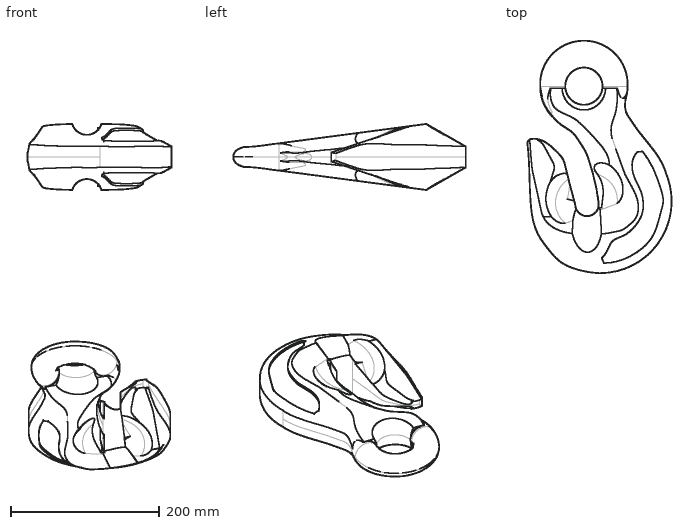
import cadquery as cq
import math


EYE_HOLE_RADIUS = 25.0
RING_HALF_WIDTH = 17.1
RING_HALF_HEIGHT = 18.5
CROWN_SHIFT = 2.4
RING_SECTIONS = 8
EYE_FLARE_HEIGHT = 28.0

PEAK_Y = -199.0
PEAK_HEIGHT = 44.69
CROWN_HALF_HEIGHT = 13.9
WEDGE_SLOPE = (PEAK_HEIGHT - RING_HALF_HEIGHT) / -PEAK_Y
BAND_HALF_HEIGHT = 14.0
CLEARANCE_HEIGHT = 90.0
CLEARANCE_WIDTH = 150.0

HOOK_CENTER = (21.3, -155.4)
HOOK_RADIUS = 97.3
HOOK_BOTTOM_Y = HOOK_CENTER[1] - HOOK_RADIUS
HOOK_ARC_START = math.radians(22)
HOOK_ARC_MIDDLE = math.radians(-30)
THROAT_LEFT = (-11.5, -160.0)
THROAT_BOTTOM = (4.0, -175.3)
THROAT_RIGHT = (20.0, -160.0)
SHANK_TOP_Y = -3.0
SHANK_TOP_LEFT = (-58.5, SHANK_TOP_Y)
SHANK_TOP_RIGHT = (58.5, SHANK_TOP_Y)
SHANK_RIGHT_SIDE = [(56, -20), (57, -35), (62, -44), (74, -61), (91, -82), (101, -96)]
SHANK_LEFT_SIDE = [
    (16, -134), (9.5, -109), (2, -88), (-6, -75), (-15, -63), (-31, -52), (-43, -40), (-54.5, -23),
]
HOOK_LEFT_SIDE = [
    (-8, -248), (-32, -237), (-49, -219), (-62, -200), (-69, -180), (-72, -158), (-74, -111),
]
PRONG_INNER_SIDE = [(-57, -73), (-47, -79), (-37, -88), (-28, -99), (-24, -112), (-18, -136)]
TIP_OUTER = (-76.4, -77)
TIP_CORNER = (-74.5, -73)
TIP_TOP = (-70, -71)

PRONG_CREASE_Y = -178.0
PRONG_SLOPE = 0.335
PRONG_BEVEL_DROP = 6.0
PRONG_EDGE_DROP = 3.0
PRONG_SIDE_LIMIT = [(-20, -80), (-40, TIP_TOP[1] + 1)]

OUTER_BEVEL = [
    ((60, 4), (43, 4)), ((56, -20), (45, -20)), ((57, -35), (42, -38)), ((62, -44), (38, -50)),
    ((74, -61), (37, -65)), ((91, -82), (42, -82)), ((101, -96), (48, -98)),
    ((111, -117), (56, -120)), ((119, -156), (73, -157)), ((116, -174), (72, -174)),
    ((108, -200), (63, -186)), ((92, -223), (52, -194)), ((68, -241), (40, -197)),
    ((44, -250), (29, -199)), ((20, -253), (11, -199)), ((-8, -248), (-8, -199)),
    ((-32, -237), (-22, -198)), ((-49, -219), (-35, -194)), ((-62, -200), (-44, -189)),
    ((-69, -180), (-54, -178)), ((-72, -158), (-59, -161)), ((-74, -111), (-70, -111)),
    ((-75.2, -95), (-71.5, -95)), ((-76.4, -74), (-73, -74)),
]
SHANK_BEVEL = [
    ((-60, 4), (-43, 4)), ((-54.5, -23), (-44, -20)), ((-43, -40), (-36, -32)),
    ((-31, -52), (-18, -41)), ((-15, -63), (-5, -50)), ((-6, -75), (9, -64)),
    ((2, -88), (19, -75)), ((9, -109), (33, -97)), ((16, -134), (32, -128)),
    ((20, -153), (27, -149)), ((20, -164), (24, -164)),
]
PRONG_BEVEL = [
    ((-57, -72), (-62, -73)), ((-47, -79), (-55, -79)), ((-37, -88), (-45, -97)),
    ((-28, -99), (-40, -109)), ((-24, -112), (-43, -121)), ((-18, -136), (-46, -132)),
    ((-12, -155), (-49, -146)),
]
LEFT_BAND_SLOPE = 0.04
LEFT_BAND_LIMIT = 16.5
NECK_RIM_HEIGHT = 3.0
NECK_RIM_SLOPE = 0.3
SHANK_RIM_TOP = (-30.0, 6.0)
SHANK_RIM_SLOPE = 0.105
RIM_OVERSHOOT = 0.06
RIDGE_OVERSHOOT = 0.15

CRESCENT_DEPTH = 3.0
CRESCENT_INNER = [
    (72, -89), (65, -109), (69, -125), (77, -142), (80, -156), (79, -171),
    (69, -189), (53, -202), (38, -210), (34, -217), (24, -232),
]
CRESCENT_OUTER = [
    (27, -239), (38, -238), (72, -224), (92, -204), (104, -170), (107, -156),
    (103, -136), (93, -110), (79, -88),
]

GROOVE_X = 4.0
GROOVE_RADIUS = 20.5
GROOVE_FLOOR = 30.0
GROOVE_START_Y = THROAT_BOTTOM[1] + 10
SEAT_LINE_LEFT = (-36.0, -189.0)
SEAT_LINE_RIGHT = (45.0, -158.0)
SEAT_CENTER = (2.5, -153.0)
SEAT_TILT = 17.0
SEAT_RADIUS = 56.0
SEAT_CORNER_RADIUS = 14.0


def wedge_height(y):
    return RING_HALF_HEIGHT - WEDGE_SLOPE * y


def prong_height(y):
    return wedge_height(PRONG_CREASE_Y) - PRONG_SLOPE * (y - PRONG_CREASE_Y)


def top_height(point):
    """Height of the wedge top over the hook, before the prong is sloped."""
    return wedge_height(point[1])


def outer_ridge_height(point):
    x, y = point
    if x < 0:
        return min(wedge_height(y), prong_height(y))
    return wedge_height(y)


def prong_top_height(point):
    return prong_height(point[1])


def outer_rim_height(point):
    x, y = point
    if x < HOOK_CENTER[0]:
        left_band = BAND_HALF_HEIGHT + LEFT_BAND_SLOPE * (y - HOOK_BOTTOM_Y)
        return min(left_band, LEFT_BAND_LIMIT, prong_height(y) - PRONG_EDGE_DROP)
    return min(BAND_HALF_HEIGHT, NECK_RIM_HEIGHT - NECK_RIM_SLOPE * y)


def prong_rim_height(point):
    return prong_height(point[1]) - PRONG_BEVEL_DROP


def shank_rim_height(point):
    y_start, height = SHANK_RIM_TOP
    return min(BAND_HALF_HEIGHT, height + SHANK_RIM_SLOPE * (y_start - point[1]))


def profile_across(points):
    """Solid with a YZ profile, running the full width of the part in X."""
    return cq.Workplane("YZ").polyline(points).close().extrude(CLEARANCE_WIDTH, both=True)


def bevel_cutter(pairs, rim_height, ridge_height, depth=0.0):
    """Everything above a ruled face that joins the rim curve to the ridge curve."""
    rim_curve = []
    ridge_curve = []
    for rim, ridge in pairs:
        low = cq.Vector(rim[0], rim[1], rim_height(rim) - depth)
        high = cq.Vector(ridge[0], ridge[1], ridge_height(ridge) - depth)
        span = high - low
        rim_curve.append(low - span * RIM_OVERSHOOT)
        ridge_curve.append(high + span * RIDGE_OVERSHOOT)
    stations = [0.0]
    for i in range(1, len(pairs)):
        rim_step = (rim_curve[i] - rim_curve[i - 1]).Length
        ridge_step = (ridge_curve[i] - ridge_curve[i - 1]).Length
        stations.append(stations[-1] + rim_step + ridge_step)
    face = cq.Face.makeRuledSurface(
        cq.Edge.makeSpline(rim_curve, parameters=stations),
        cq.Edge.makeSpline(ridge_curve, parameters=stations),
    )
    return cq.Workplane(cq.Solid.extrudeLinear(face, cq.Vector(0, 0, CLEARANCE_HEIGHT)))


def shank_hole():
    """Eye hole whose rim opens along a quarter ellipse, steeper than the ring section."""
    profile = (
        cq.Workplane("XZ")
        .lineTo(EYE_HOLE_RADIUS, 0)
        .ellipseArc(RING_HALF_WIDTH, EYE_FLARE_HEIGHT, 90, 180, sense=-1)
        .lineTo(EYE_HOLE_RADIUS + RING_HALF_WIDTH, CLEARANCE_HEIGHT)
        .lineTo(0, CLEARANCE_HEIGHT)
        .close()
    )
    return profile.revolve(360, (0, 0), (0, 1))


def ring_section(angle):
    """Half ellipse across the ring at an angle from +X; wider and lower toward the crown."""
    half_width = RING_HALF_WIDTH + CROWN_SHIFT / 2 * math.sin(angle)
    mean_radius = EYE_HOLE_RADIUS + half_width
    half_height = max(CROWN_HALF_HEIGHT, wedge_height(mean_radius * math.sin(angle)))
    outward = cq.Vector(math.cos(angle), math.sin(angle), 0)
    plane = cq.Plane(outward * mean_radius, outward, outward.cross(cq.Vector(0, 0, 1)))
    section = (
        cq.Workplane(plane)
        .moveTo(half_width, 0)
        .ellipseArc(half_width, half_height, 0, 180)
        .close()
    )
    return section.val()


def eye_ring():
    """Upper half of the ring: a lofted crown and a round lower arc buried in the shank."""
    angles = [math.pi * i / RING_SECTIONS for i in range(RING_SECTIONS + 1)]
    crown = cq.Workplane(cq.Solid.makeLoft([ring_section(angle) for angle in angles]))
    lower_arc = cq.Solid.revolve(
        ring_section(math.pi), [], 180, cq.Vector(0, 0, 0), cq.Vector(0, 0, 1)
    )
    return crown.union(cq.Workplane(lower_arc))


def hook_circle_point(angle):
    x = HOOK_CENTER[0] + HOOK_RADIUS * math.cos(angle)
    y = HOOK_CENTER[1] + HOOK_RADIUS * math.sin(angle)
    return (x, y)


def hook_outline():
    arc_start = hook_circle_point(HOOK_ARC_START)
    arc_middle = hook_circle_point(HOOK_ARC_MIDDLE)
    return (
        cq.Workplane("XY")
        .moveTo(*SHANK_TOP_LEFT)
        .lineTo(*SHANK_TOP_RIGHT)
        .spline(SHANK_RIGHT_SIDE + [arc_start], includeCurrent=True)
        .threePointArc(arc_middle, (HOOK_CENTER[0], HOOK_BOTTOM_Y))
        .spline(HOOK_LEFT_SIDE + [TIP_OUTER], includeCurrent=True)
        .threePointArc(TIP_CORNER, TIP_TOP)
        .spline(PRONG_INNER_SIDE + [THROAT_LEFT], includeCurrent=True)
        .threePointArc(THROAT_BOTTOM, THROAT_RIGHT)
        .spline(SHANK_LEFT_SIDE + [SHANK_TOP_LEFT], includeCurrent=True)
        .close()
    )


def wedge_envelope():
    return profile_across([
        (0, 0),
        (0, wedge_height(0)),
        (HOOK_BOTTOM_Y, wedge_height(HOOK_BOTTOM_Y)),
        (HOOK_BOTTOM_Y, 0),
    ])


def prong_top_cutter():
    """Everything above the sloping prong top, kept to the prong side of the throat."""
    tip_y = TIP_TOP[1] + 1
    slope = profile_across([
        (PRONG_CREASE_Y, wedge_height(PRONG_CREASE_Y)),
        (tip_y, prong_height(tip_y)),
        (tip_y, CLEARANCE_HEIGHT),
        (PRONG_CREASE_Y, CLEARANCE_HEIGHT),
    ])
    left_edge = [(-CLEARANCE_WIDTH, tip_y), (-CLEARANCE_WIDTH, PRONG_CREASE_Y)]
    prong_side = (
        cq.Workplane("XY")
        .polyline(left_edge + [THROAT_BOTTOM] + PRONG_SIDE_LIMIT)
        .close()
        .extrude(CLEARANCE_HEIGHT)
    )
    return slope.intersect(prong_side)


def crescent_cutter():
    """Crescent whose floor runs parallel to the outer bevel."""
    floor = bevel_cutter(OUTER_BEVEL, outer_rim_height, outer_ridge_height, CRESCENT_DEPTH)
    outline = (
        cq.Workplane("XY")
        .moveTo(*CRESCENT_INNER[0])
        .spline(CRESCENT_INNER[1:], includeCurrent=True)
        .lineTo(*CRESCENT_OUTER[0])
        .spline(CRESCENT_OUTER[1:], includeCurrent=True)
        .close()
        .extrude(CLEARANCE_HEIGHT)
    )
    return floor.intersect(outline)


def groove_cutter():
    """Round channel that runs from the throat out through the outer bevel."""
    return (
        cq.Workplane("XZ", origin=(GROOVE_X, GROOVE_START_Y, GROOVE_FLOOR + GROOVE_RADIUS))
        .circle(GROOVE_RADIUS)
        .extrude(GROOVE_START_Y - HOOK_BOTTOM_Y)
    )


def seat_cutter():
    """Round-cornered disc whose flat floor dives below the wedge top away from the seat line."""
    start = cq.Vector(*SEAT_LINE_LEFT, top_height(SEAT_LINE_LEFT))
    end = cq.Vector(*SEAT_LINE_RIGHT, top_height(SEAT_LINE_RIGHT))
    direction = (end - start).normalized()
    wedge_normal = cq.Vector(0, WEDGE_SLOPE, 1).normalized()
    uphill = wedge_normal.cross(direction)
    tilt = math.radians(SEAT_TILT)
    normal = wedge_normal * math.cos(tilt) + uphill * math.sin(tilt)
    offset = cq.Vector(*SEAT_CENTER, top_height(SEAT_CENTER)) - start
    floor_center = start + offset - normal * offset.dot(normal)
    return (
        cq.Workplane(cq.Plane(floor_center, direction, normal))
        .circle(SEAT_RADIUS)
        .extrude(2 * SEAT_CORNER_RADIUS)
        .faces("<Z")
        .edges()
        .fillet(SEAT_CORNER_RADIUS)
    )


def upper_half():
    half = hook_outline().extrude(CLEARANCE_HEIGHT).intersect(wedge_envelope())
    half = half.cut(bevel_cutter(OUTER_BEVEL, outer_rim_height, outer_ridge_height))
    half = half.cut(bevel_cutter(SHANK_BEVEL, shank_rim_height, top_height))
    half = half.cut(prong_top_cutter())
    half = half.cut(bevel_cutter(PRONG_BEVEL, prong_rim_height, prong_top_height))
    half = half.cut(crescent_cutter())
    half = half.cut(seat_cutter())
    half = half.cut(groove_cutter())
    half = half.cut(shank_hole())
    return half.union(eye_ring())


half_hook = upper_half()
result = half_hook.union(half_hook.mirror("XY"))